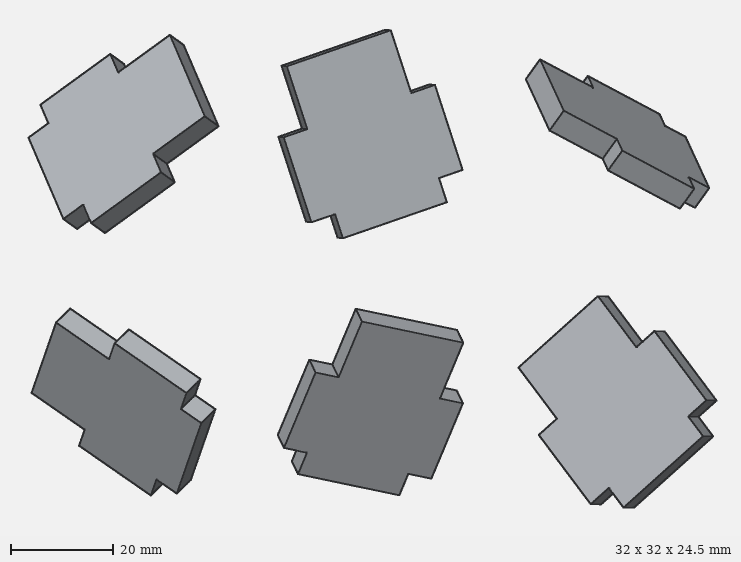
import cadquery as cq
import math

overall_depth = 32.02
tilt_angle = 35.0
thickness = 5.0
overall_width = 32.0
body_width = 22.0
upper_length = 13.0
lower_length = 5.0

tilt = math.radians(tilt_angle)
plate_length = (overall_depth - thickness * math.sin(tilt)) / math.cos(tilt)
tab_length = plate_length - upper_length - lower_length
tab_center = (lower_length - upper_length) / 2

body = cq.Workplane("XY").box(body_width, plate_length, thickness)
tab_band = (
    cq.Workplane("XY")
    .center(0, tab_center)
    .box(overall_width, tab_length, thickness)
)
plate = body.union(tab_band)

result = plate.rotate((0, 0, 0), (1, 0, 0), tilt_angle)